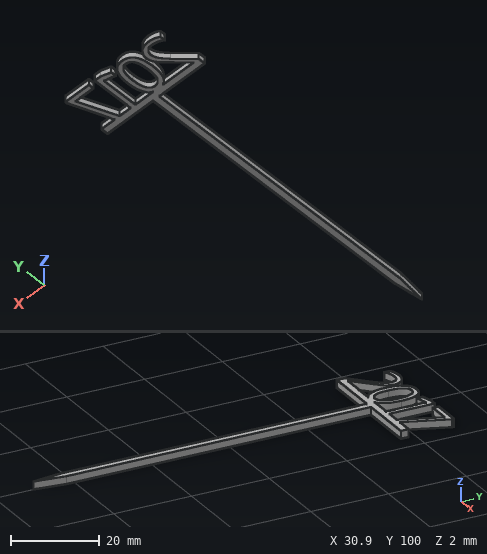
import cadquery as cq

thickness = 2.0
total_length = 100.0
bar_length = 30.9
bar_height = 2.0
digit_top = 13.7
stroke = 1.5
hook_top = digit_top - 0.8
hook_bottom = hook_top - stroke

stick_width = 2.0
taper_length = 8.0
stick_center = bar_length / 2
stick_left = stick_center - stick_width / 2
stick_right = stick_center + stick_width / 2
tip_y = digit_top - total_length
taper_y = tip_y + taper_length

two_hook_x = 1.5
two_crown_x = 4.7
two_crown_inner_y = digit_top - 1.3
two_right = 8.4
two_bowl_y = 10.6
two_outer_shoulder = (7.3, 12.8)
two_inner_shoulder = (6.3, 11.9)
two_outer_waist = (7.9, 8.6)
two_inner_waist = (6.1, 8.3)
two_diagonal_outer_end = (7.2, 7.5)
two_diagonal_inner_end = (4.6, 6.5)
two_foot_x = 1.7

zero_center = (12.9, 7.7)
zero_half_width = 3.9
zero_half_height = digit_top - zero_center[1]
zero_fullness = 0.67
zero_hole_half_width = 2.4
zero_hole_half_height = 4.7

one_hook_x = 17.1
one_right = 21.6
one_left = one_right - stroke
one_peak_x = 19.7

seven_left = 23.4
seven_corner_drop = 0.6
seven_inner_x = 29.1
seven_foot_left = 25.1
seven_foot_right = 26.7


def plate(outline):
    return outline.close().extrude(thickness)


def make_bar():
    return cq.Workplane("XY").box(bar_length, bar_height, thickness, centered=False)


def make_stick():
    return plate(
        cq.Workplane("XY")
        .moveTo(stick_left, bar_height)
        .lineTo(stick_left, taper_y)
        .lineTo(stick_center, tip_y)
        .lineTo(stick_right, taper_y)
        .lineTo(stick_right, bar_height)
    )


def make_two():
    outer_curve = [
        (two_crown_x, digit_top),
        two_outer_shoulder,
        (two_right, two_bowl_y),
        two_outer_waist,
        two_diagonal_outer_end,
    ]
    inner_curve = [
        two_inner_waist,
        (two_right - stroke, two_bowl_y),
        two_inner_shoulder,
        (two_crown_x, two_crown_inner_y),
        (two_hook_x, hook_bottom),
    ]
    return plate(
        cq.Workplane("XY")
        .moveTo(two_hook_x, hook_bottom)
        .lineTo(two_hook_x, hook_top)
        .spline(outer_curve, includeCurrent=True)
        .lineTo(two_foot_x, bar_height)
        .lineTo(two_foot_x, 0)
        .lineTo(0, 0)
        .lineTo(0, bar_height)
        .lineTo(*two_diagonal_inner_end)
        .spline(inner_curve, includeCurrent=True)
    )


def make_oval(half_width, half_height):
    """Squarish oval of four Bezier quarters, centred on the digit 0."""
    pull_x = zero_fullness * half_width
    pull_y = zero_fullness * half_height
    quarter = [(0, half_height), (pull_x, half_height), (half_width, pull_y), (half_width, 0)]
    mirrored = [(x, -y) for x, y in reversed(quarter)]
    outline = cq.Workplane("XY").moveTo(0, half_height)
    for sign in (1, -1):
        for curve in (quarter, mirrored):
            outline = outline.bezier([(sign * x, sign * y) for x, y in curve])
    oval = plate(outline)
    return oval.translate((*zero_center, 0))


def make_one():
    return plate(
        cq.Workplane("XY")
        .moveTo(one_hook_x, hook_bottom)
        .lineTo(one_hook_x, hook_top)
        .lineTo(one_peak_x, digit_top)
        .lineTo(one_right, digit_top)
        .lineTo(one_right, 0)
        .lineTo(one_left, 0)
        .lineTo(one_left, digit_top - stroke)
    )


def make_seven():
    return plate(
        cq.Workplane("XY")
        .moveTo(seven_left, digit_top)
        .lineTo(bar_length, digit_top)
        .lineTo(bar_length, digit_top - seven_corner_drop)
        .lineTo(seven_foot_right, bar_height)
        .lineTo(seven_foot_right, 0)
        .lineTo(seven_foot_left, 0)
        .lineTo(seven_foot_left, bar_height)
        .lineTo(seven_inner_x, digit_top - stroke)
        .lineTo(seven_left, digit_top - stroke)
    )


zero = make_oval(zero_half_width, zero_half_height)
zero_hole = make_oval(zero_hole_half_width, zero_hole_half_height)

result = make_bar()
for piece in (make_stick(), make_two(), zero.cut(zero_hole), make_one(), make_seven()):
    result = result.union(piece)
result = result.clean()